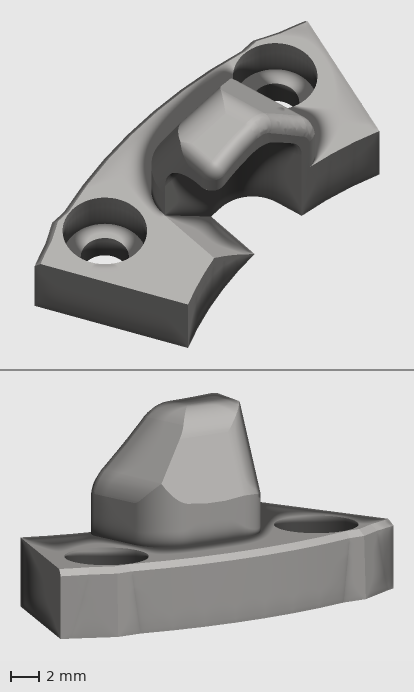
import cadquery as cq
import math

LENGTH = 29.22
OUTER_RADIUS = 39.4
INNER_RADIUS = 27.88
PLATE_THICKNESS = 5.0
RIM_CHAMFER = 0.45

SCREW_X = 4.7
SCREW_Y = 9.2
SCREW_DIAMETER = 3.42
COUNTERBORE_DIAMETER = 6.0
COUNTERBORE_DEPTH = 3.0

PAD_X = 1.02
PAD_CORNER_Y = 10.87
PAD_SLOPE_ANGLE = 63.5
PAD_LENGTH = 3.65
PAD_ROOT_Y = 7.3
PAD_DRAFT = 2.0

HEIGHT = 14.0
HOOK_BACK_X = 3.97
HOOK_SIDE_Y = 5.9
HOOK_SIDE_X = 11.98
HOOK_SIDE_ANGLE = 6.5
BACK_SLOPE_Z = 7.9
BACK_SLOPE_ANGLE = 26.0
BEVEL_REACH = 14.7
BEND_RADIUS = 3.0
NOSE_RADIUS = 1.0

UNDERCUT_X = 6.98
UNDERCUT_Y = 3.92
UNDERCUT_Z = 11.83
UNDERCUT_RADIUS = 3.5
UNDERCUT_BEVEL_REACH = 11.83
UNDERCUT_DIP_ANGLE = 15.0

FAR = 23.38

MARGIN = 0.03

side_slope = math.tan(math.radians(HOOK_SIDE_ANGLE))
back_slope = math.tan(math.radians(BACK_SLOPE_ANGLE))


def ring(height):
    """Full ring that the plate and the hook are cut from."""
    return (
        cq.Workplane("XY", origin=(OUTER_RADIUS, 0, 0))
        .circle(OUTER_RADIUS)
        .circle(INNER_RADIUS)
        .extrude(height)
    )


def pad(side):
    """Pad beside one counterbore; side is +1 or -1 along Y."""
    angle = math.radians(PAD_SLOPE_ANGLE)
    tip_x = PAD_X + PAD_LENGTH * math.cos(angle)
    tip_y = PAD_CORNER_Y + PAD_LENGTH * math.sin(angle)
    outline = [
        (PAD_X, side * PAD_ROOT_Y),
        (PAD_X, side * PAD_CORNER_Y),
        (tip_x, side * tip_y),
        (SCREW_X, side * PAD_CORNER_Y),
        (SCREW_X, side * PAD_ROOT_Y),
    ]
    return cq.Workplane("XY").polyline(outline).close().extrude(PLATE_THICKNESS, taper=PAD_DRAFT)


def plate():
    """Ring sector with both pads and a chamfer along the outer rim."""
    end_angle = math.asin(LENGTH / 2 / OUTER_RADIUS)
    end_y = OUTER_RADIUS * math.tan(end_angle)
    sector = (
        cq.Workplane("XY")
        .polyline([(OUTER_RADIUS, 0), (0, -end_y), (0, end_y)])
        .close()
        .extrude(PLATE_THICKNESS)
    )
    body = ring(PLATE_THICKNESS).intersect(sector)
    for side in (1, -1):
        body = body.union(pad(side))

    rim_limit_x = OUTER_RADIUS * (1 - math.cos(end_angle))
    rim = cq.selectors.BoxSelector(
        (-MARGIN, -LENGTH, PLATE_THICKNESS - MARGIN),
        (rim_limit_x, LENGTH, PLATE_THICKNESS + MARGIN),
    )
    return body.edges(rim).chamfer(RIM_CHAMFER)


def drill(body):
    """Cuts both counterbored screw holes."""
    return (
        body.copyWorkplane(cq.Workplane("XY", origin=(0, 0, PLATE_THICKNESS)))
        .pushPoints([(SCREW_X, SCREW_Y), (SCREW_X, -SCREW_Y)])
        .cboreHole(SCREW_DIAMETER, COUNTERBORE_DIAMETER, COUNTERBORE_DEPTH)
    )


def side_y(x):
    """Half width of the hook, growing towards +X."""
    return HOOK_SIDE_Y + (x - HOOK_SIDE_X) * side_slope


def wedge(start_x):
    """Block between the two flaring sides of the hook."""
    outline = [
        (start_x, -side_y(start_x)),
        (FAR, -side_y(FAR)),
        (FAR, side_y(FAR)),
        (start_x, side_y(start_x)),
    ]
    return cq.Workplane("XY").polyline(outline).close().extrude(HEIGHT)


def back_corners(limit_x):
    """Selects the side edges of a block whose back lies before limit_x."""
    return cq.selectors.BoxSelector((-FAR, -FAR, MARGIN), (limit_x, FAR, HEIGHT - MARGIN))


def hook_column():
    """Upright column with a curved back and rounded back corners."""
    back = (
        cq.Workplane("XY", origin=(OUTER_RADIUS, 0))
        .circle(OUTER_RADIUS - HOOK_BACK_X)
        .extrude(HEIGHT)
    )
    column = wedge(0).intersect(back)
    return column.edges(back_corners(HOOK_BACK_X + BEND_RADIUS)).fillet(BEND_RADIUS)


def leaning_block():
    """Block with a leaning back, rounded into the sides and into the top."""
    foot_x = HOOK_BACK_X - BACK_SLOPE_Z * back_slope
    top_x = foot_x + HEIGHT * back_slope

    profile = (
        cq.Workplane("XZ", origin=(0, FAR, 0))
        .polyline([(foot_x, 0), (top_x, HEIGHT), (FAR, HEIGHT), (FAR, 0)])
        .close()
        .extrude(2 * FAR)
    )
    block = profile.intersect(wedge(foot_x)).edges(back_corners(top_x)).edges("<Y").fillet(BEND_RADIUS)
    top_bend = cq.selectors.NearestToPointSelector((top_x, 0, HEIGHT))
    return block.intersect(profile.edges(top_bend).fillet(BEND_RADIUS))


def side_prism(side, section, bends, radius, dip_angle=0.0):
    """Prism along one flaring side of the hook.

    The section is given as (distance from the middle, height); its corners
    listed in bends are rounded. The prism dips towards -X by dip_angle.
    """
    angle = math.radians(side * HOOK_SIDE_ANGLE)
    plane = cq.Plane(
        origin=(HOOK_SIDE_X, 0, 0),
        xDir=(-math.sin(angle), math.cos(angle), 0),
        normal=(math.cos(angle), math.sin(angle), math.tan(math.radians(dip_angle))),
    )
    points = [(side * y, z) for y, z in section]
    prism = cq.Workplane(plane).polyline(points).close().extrude(FAR, both=True)
    for y, z in bends:
        spot = plane.toWorldCoords((side * y, z))
        prism = prism.edges(cq.selectors.NearestToPointSelector(spot.toTuple())).fillet(radius)
    return prism


def bevelled_section(side_distance, top, reach):
    """Upright side, 45 degree bevel and flat top, with the two bevel corners."""
    bends = [(side_distance, reach - side_distance), (reach - top, top)]
    section = [(-FAR, 0), (side_distance, 0), *bends, (-FAR, top)]
    return section, bends


def nose_block():
    """Bevelled block with a curved front face, rounded all around that face."""
    section, bends = bevelled_section(HOOK_SIDE_Y, HEIGHT, BEVEL_REACH)
    bevel = side_prism(1, section, bends, BEND_RADIUS)
    block = wedge(0).intersect(bevel).intersect(ring(HEIGHT))

    inner_face_center = (OUTER_RADIUS - INNER_RADIUS, 0, HEIGHT / 2)
    nose_edges = block.faces(cq.selectors.NearestToPointSelector(inner_face_center)).edges("not(<Z)")
    top_side_edge = block.faces(">Z").edges("<Y")
    return block.newObject(nose_edges.vals() + top_side_edge.vals()).fillet(NOSE_RADIUS)


def hook():
    """Solid hook before its underside is cut away."""
    return hook_column().intersect(leaning_block()).intersect(nose_block())


def undercut():
    """Space under the hook, running on through the plate as a 45 degree entry."""
    profile = (
        cq.Workplane("XZ", origin=(0, FAR, 0))
        .polyline([(UNDERCUT_X, -FAR), (UNDERCUT_X, UNDERCUT_Z), (FAR, UNDERCUT_Z), (FAR, -FAR)])
        .close()
        .extrude(2 * FAR)
        .edges("|Y and <X and >Z")
        .fillet(UNDERCUT_RADIUS)
    )
    wall_bend = (UNDERCUT_Y, UNDERCUT_BEVEL_REACH - UNDERCUT_Y)
    ceiling_section = [
        (-FAR, -FAR),
        (UNDERCUT_Y, -FAR),
        wall_bend,
        (-FAR, UNDERCUT_BEVEL_REACH + FAR),
    ]
    ceiling = side_prism(1, ceiling_section, [wall_bend], BEND_RADIUS, UNDERCUT_DIP_ANGLE)

    entry_section = [
        (FAR, PLATE_THICKNESS),
        (HOOK_SIDE_Y, PLATE_THICKNESS),
        (HOOK_SIDE_Y - PLATE_THICKNESS, 0),
        (-FAR, 0),
        (-FAR, HEIGHT),
        (FAR, HEIGHT),
    ]
    space = profile.intersect(ceiling)
    ridge = cq.selectors.NearestToPointSelector((HOOK_SIDE_X, UNDERCUT_BEVEL_REACH - UNDERCUT_Z, UNDERCUT_Z))
    space = space.edges(ridge).fillet(BEND_RADIUS)
    return space.intersect(side_prism(-1, entry_section, [], 0))


result = drill(plate()).union(hook()).cut(undercut())